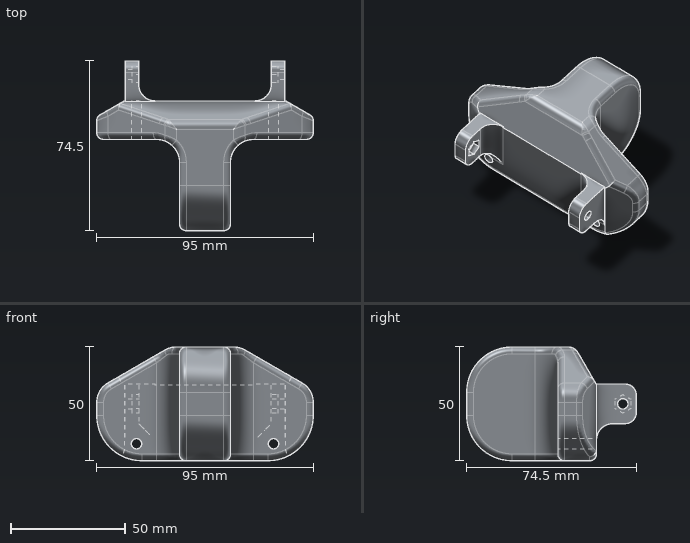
import cadquery as cq
import math

width = 95.0
height = 50.0
body_depth = 57.0
half_width = width / 2
mid_height = height / 2

shoulder_angle = math.radians(30)
shoulder_top_x = 15.2
shoulder_radius = 10.0
lower_corner_radius = 19.95
shoulder_low_z = height - (half_width - shoulder_top_x) * math.tan(shoulder_angle)

nose_radius = lower_corner_radius
slant_angle = math.radians(60)
slant_top_y = 9.6
slant_top_radius = 5.0
slant_low_z = height - slant_top_y * math.tan(slant_angle)

plate_depth = 17.0
knob_half_width = 11.2
knob_blend_radius = 10.0
bevel_angle = math.radians(30)
back_half_width = 35.3
bevel_depth = (half_width - back_half_width) * math.tan(bevel_angle)

edge_radius = 3.0

sharp_corner_reach = 2.4

lug_length = 17.5
lug_height = 17.5
lug_outer_x = 35.0
lug_thickness = 6.0
lug_corner_radius = 5.0
lug_blend_radius = 7.0
lug_root_depth = 0.95
lug_top_z = mid_height + lug_height / 2
lug_bottom_z = mid_height - lug_height / 2
lug_hole_to_tip = 6.0
nut_across_flats = 7.0
nut_pocket_depth = 3.0
hole_diameter = 4.5

screw_x = 30.0
screw_z = 7.5


def front_outline():
    """Plate silhouette in the XZ plane, running the full depth of the body."""
    block = (
        cq.Workplane("XZ")
        .moveTo(-half_width, 0)
        .lineTo(half_width, 0)
        .lineTo(half_width, shoulder_low_z)
        .lineTo(shoulder_top_x, height)
        .lineTo(-shoulder_top_x, height)
        .lineTo(-half_width, shoulder_low_z)
        .close()
        .extrude(body_depth)
    )
    block = block.faces("<Z").edges("|Y").fillet(lower_corner_radius)
    shoulders = cq.selectors.BoxSelector(
        (-width, -body_depth, mid_height),
        (width, 0, 2 * height),
    )
    return block.edges("|Y").edges(shoulders).fillet(shoulder_radius)


def side_outline():
    """Knob and back silhouette in the YZ plane, running the full width."""
    block = (
        cq.Workplane("YZ")
        .moveTo(0, 0)
        .lineTo(0, slant_low_z)
        .lineTo(-slant_top_y, height)
        .lineTo(-body_depth, height)
        .lineTo(-body_depth, 0)
        .close()
        .extrude(half_width, both=True)
    )
    block = block.faces(">Z").edges(">Y").fillet(slant_top_radius)
    return block.faces("<Y").edges("|X").fillet(nose_radius)


def plan_outline():
    """T-shaped silhouette in the XY plane, running the full height."""
    right_half = (
        cq.Workplane("XY")
        .moveTo(0, 0)
        .lineTo(back_half_width, 0)
        .lineTo(half_width, -bevel_depth)
        .lineTo(half_width, -plate_depth)
        .lineTo(knob_half_width + knob_blend_radius, -plate_depth)
        .radiusArc((knob_half_width, -plate_depth - knob_blend_radius), -knob_blend_radius)
        .lineTo(knob_half_width, -body_depth)
        .lineTo(0, -body_depth)
        .close()
        .extrude(height)
    )
    return right_half.union(right_half.mirror("YZ")).clean()


def body():
    """Common volume of the three silhouettes, with its front and back rims rounded."""
    block = front_outline().intersect(side_outline()).intersect(plan_outline())
    rims = cq.selectors.StringSyntaxSelector("not (|X or |Y or |Z)")
    for side in (-1, 1):
        corner = (side * back_half_width, 0, slant_low_z)
        rims -= cq.selectors.BoxSelector(
            [c - sharp_corner_reach for c in corner],
            [c + sharp_corner_reach for c in corner],
        )
    return block.edges(rims).fillet(edge_radius)


def lug(side):
    """Hinge lug on one side, blended into the back plane below and on its inner face."""
    profile = (
        cq.Workplane("YZ")
        .moveTo(-lug_root_depth, lug_top_z)
        .lineTo(lug_length - lug_corner_radius, lug_top_z)
        .radiusArc((lug_length, lug_top_z - lug_corner_radius), lug_corner_radius)
        .lineTo(lug_length, lug_bottom_z + lug_corner_radius)
        .radiusArc((lug_length - lug_corner_radius, lug_bottom_z), lug_corner_radius)
        .lineTo(lug_blend_radius, lug_bottom_z)
        .radiusArc((0, lug_bottom_z - lug_blend_radius), -lug_blend_radius)
        .lineTo(-lug_root_depth, lug_bottom_z - lug_blend_radius)
        .close()
        .extrude(lug_outer_x)
    )
    inner_x = lug_outer_x - lug_thickness
    plan = (
        cq.Workplane("XY")
        .moveTo(lug_outer_x, -lug_root_depth)
        .lineTo(lug_outer_x, lug_length)
        .lineTo(inner_x, lug_length)
        .lineTo(inner_x, lug_blend_radius)
        .radiusArc((inner_x - lug_blend_radius, 0), lug_blend_radius)
        .lineTo(inner_x - lug_blend_radius, -lug_root_depth)
        .close()
        .extrude(height)
    )
    pivot_origin = (inner_x, lug_length - lug_hole_to_tip, mid_height)
    pivot_hole = (
        cq.Workplane("YZ", origin=pivot_origin)
        .circle(hole_diameter / 2)
        .extrude(lug_thickness)
    )
    nut_pocket = (
        cq.Workplane("YZ", origin=pivot_origin)
        .polygon(6, nut_across_flats, circumscribed=True)
        .extrude(nut_pocket_depth)
    )
    right_lug = profile.intersect(plan).cut(pivot_hole).cut(nut_pocket)
    return right_lug if side > 0 else right_lug.mirror("YZ")


screw_holes = (
    cq.Workplane("XZ")
    .pushPoints([(-screw_x, screw_z), (screw_x, screw_z)])
    .circle(hole_diameter / 2)
    .extrude(body_depth, both=True)
)

result = body().union(lug(-1)).union(lug(1)).cut(screw_holes)